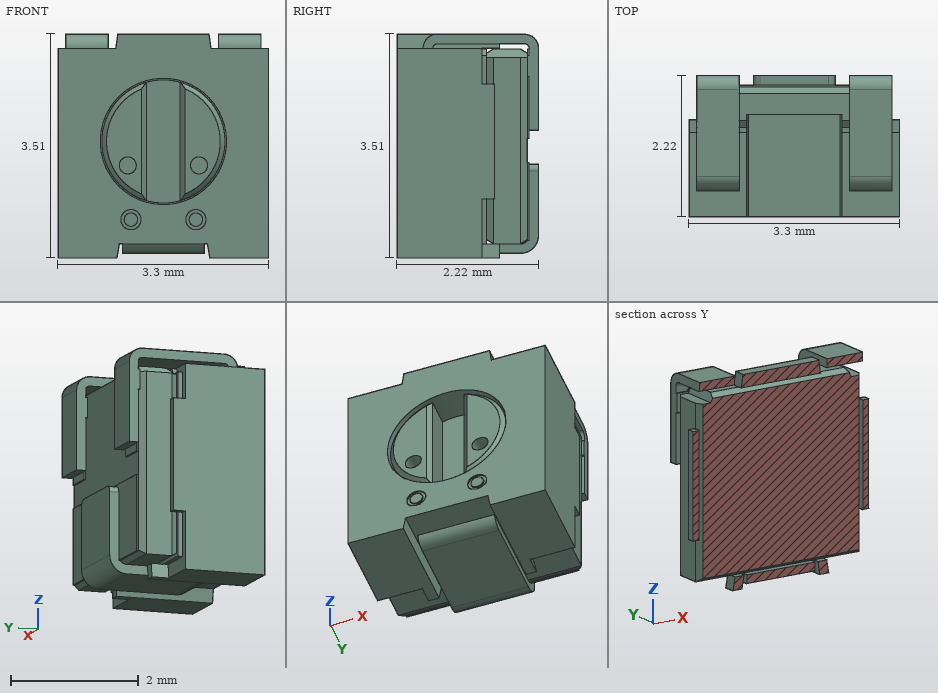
import cadquery as cq


width = 3.3
depth = 2.22
height = 3.51

housing_depth = 1.327
housing_top = 3.29
boss_depth = 1.608
boss_base_half = 0.748
boss_top_half = 0.715
notch_height = 0.225
notch_bottom_half = 0.725
notch_top_half = 0.688
rail_width = 0.175
ledge_end = 1.405
ledge_drop = 0.105
side_wall_end = 1.527
side_wall_bottom = 0.93
side_wall_top = 2.727

strip_thickness = 0.15
pad_end = depth - strip_thickness
tip_start = 0.407
tip_radius = 0.225
upper_width = 0.67
upper_offset = 1.197
upper_leg_end = 2.005
upper_bend = 0.225
lower_width = 1.285
lower_bottom = notch_height - strip_thickness
lower_leg_end = 1.475
lower_bend = 0.285
lower_corner = 0.105

plate_half = upper_offset + upper_width / 2
plate_top = 3.28
plate_end = 2.04
plate_drop = 0.135
shoulder_width = 0.21
shoulder_slope = 0.07
plate_bevel_along = 0.105
plate_bevel_across = 0.063

band_bottom = 2.85
band_drop = 0.105
pad_inset = 0.09
upper_pad_bottom = 1.878
lower_pad_bottom = 0.28
lower_pad_top = 1.502

rotor_z = 1.83
bore_radius = 0.99
rotor_radius = 0.965
rotor_bevel = 0.075
slot_half = 0.265
slot_bevel = 0.077
slot_depth = 0.52
bore_depth = 0.595
rotor_hole_radius = 0.135
rotor_hole_x = 0.558
rotor_hole_z = 1.453

ring_x = 0.51
ring_z = 0.605
ring_outer = 0.158
ring_inner = 0.105
ring_depth = 0.02


def block(x0, x1, y0, y1, z0, z1):
    """Box between two opposite corners."""
    return cq.Workplane("XY").box(x1 - x0, y1 - y0, z1 - z0, centered=False).translate((x0, y0, z0))


def front_plane(y):
    """Sketch plane at the given y; its extrusions run toward +Y and its local y is -Z."""
    return cq.Workplane(cq.Plane(origin=(0, y, 0), xDir=(1, 0, 0), normal=(0, 1, 0)))


def prism(points, y0, y1):
    """Outline of (x, z) points extruded from y0 to y1."""
    return front_plane(y0).polyline([(x, -z) for x, z in points]).close().extrude(y1 - y0)


def disc(x, z, radius, length):
    """Cylinder running from the front face toward +Y."""
    return front_plane(0).center(x, -z).circle(radius).extrude(length)


def trapezoid(bottom_half, top_half, z0, z1, y1):
    """Symmetric trapezoid running from the front face back to y1."""
    points = [(-bottom_half, z0), (bottom_half, z0), (top_half, z1), (-top_half, z1)]
    return prism(points, 0, y1)


def shouldered(half, y0, y1, z0, drop):
    """Slab from z0 up to the plate top, its upper corners lowered by drop to flat shoulders."""
    shoulder_z = plate_top - drop
    foot = half - shoulder_width
    crown = foot - shoulder_slope
    return prism([
        (-half, z0),
        (half, z0),
        (half, shoulder_z),
        (foot, shoulder_z),
        (crown, plate_top),
        (-crown, plate_top),
        (-foot, shoulder_z),
        (-half, shoulder_z),
    ], y0, y1)


def make_housing():
    body = block(-width / 2, width / 2, 0, housing_depth, 0, housing_top)
    body = body.union(trapezoid(boss_base_half, boss_top_half, housing_top, height, boss_depth))
    body = body.cut(trapezoid(notch_bottom_half, notch_top_half, 0, notch_height, housing_depth))
    body = body.union(shouldered(plate_half, housing_depth, ledge_end, notch_height, ledge_drop))

    wall = block(plate_half, width / 2, housing_depth, side_wall_end, side_wall_bottom, side_wall_top)
    body = body.union(wall).union(wall.mirror("YZ"))

    rail_outline = [
        (notch_bottom_half, 0),
        (notch_bottom_half + rail_width, 0),
        (notch_top_half + rail_width, notch_height),
        (notch_top_half, notch_height),
    ]
    rail = prism(rail_outline, housing_depth, boss_depth)
    return body.union(rail).union(rail.mirror("YZ"))


def bevelled_outline(workplane, low, high):
    """Sketch the plate's thickness along local y against low..high along local x, corners bevelled."""
    a, b = plate_bevel_across, plate_bevel_along
    return workplane.polyline([
        (low + a, ledge_end),
        (high - a, ledge_end),
        (high, ledge_end + b),
        (high, plate_end - b),
        (high - a, plate_end),
        (low + a, plate_end),
        (low, plate_end - b),
        (low, ledge_end + b),
    ]).close()


def make_plate():
    """Plate bevelled on both faces, with a lowered shoulder at each upper corner."""
    plan = bevelled_outline(cq.Workplane("XY"), -plate_half, plate_half).extrude(plate_top)
    side = bevelled_outline(cq.Workplane("ZY"), notch_height, plate_top).extrude(plate_half, both=True)
    slab = shouldered(plate_half, ledge_end, plate_end, notch_height, plate_drop)
    return slab.intersect(plan).intersect(side)


def make_contacts():
    """Band and narrower pad under each upper leg, and one wide pad under the lower leg."""
    band = shouldered(upper_width / 2, plate_end, pad_end, band_bottom, band_drop)
    pad_width = upper_width - 2 * pad_inset
    pad = block(-pad_width / 2, pad_width / 2, plate_end, pad_end, upper_pad_bottom, band_bottom)
    upper = band.union(pad).translate((upper_offset, 0, 0))
    lower_half = plate_half - pad_inset
    lower = block(-lower_half, lower_half, plate_end, pad_end, lower_pad_bottom, lower_pad_top)
    return upper.union(upper.mirror("YZ")).union(lower)


def make_strip(strip_width, leg_length, bend_radius):
    """Bent strip lying on z = 0: tip curling down at the front, leg hanging down at the back."""
    tip_inner = tip_radius - strip_thickness
    leg_inner = bend_radius - strip_thickness
    tip_centre = tip_start + tip_radius
    leg_centre = depth - bend_radius
    return (
        cq.Workplane("YZ", origin=(-strip_width / 2, 0, 0))
        .moveTo(tip_start, -tip_radius)
        .radiusArc((tip_centre, 0), tip_radius)
        .lineTo(leg_centre, 0)
        .radiusArc((depth, -bend_radius), bend_radius)
        .lineTo(depth, -leg_length)
        .lineTo(pad_end, -leg_length)
        .lineTo(pad_end, -bend_radius)
        .radiusArc((leg_centre, -strip_thickness), -leg_inner)
        .lineTo(tip_centre, -strip_thickness)
        .radiusArc((tip_centre - tip_inner, -tip_radius), -tip_inner)
        .close()
        .extrude(strip_width)
    )


def make_terminals():
    upper = make_strip(upper_width, height - upper_leg_end, upper_bend)
    upper = upper.translate((upper_offset, 0, height))
    lower = make_strip(lower_width, lower_leg_end - lower_bottom, lower_bend).mirror("XY")
    lower = lower.translate((0, 0, lower_bottom))
    lower = lower.edges("|Y").edges(">Z").fillet(lower_corner)
    return upper.union(upper.mirror("YZ")).union(lower)


def make_rotor():
    rotor = disc(0, rotor_z, rotor_radius, bore_depth).faces("<Y").chamfer(rotor_bevel)
    lip_half = slot_half + slot_bevel
    slot_outline = [
        (-lip_half, 0),
        (lip_half, 0),
        (slot_half, slot_bevel),
        (slot_half, slot_depth),
        (-slot_half, slot_depth),
        (-slot_half, slot_bevel),
    ]
    slot = cq.Workplane("XY").polyline(slot_outline).close().extrude(height)
    return rotor.cut(slot)


result = make_housing().union(make_plate()).union(make_contacts()).union(make_terminals())
result = result.cut(disc(0, rotor_z, bore_radius, bore_depth)).union(make_rotor())
for side in (-1, 1):
    result = result.cut(disc(side * rotor_hole_x, rotor_hole_z, rotor_hole_radius, slot_depth))
    groove = disc(side * ring_x, ring_z, ring_outer, ring_depth)
    groove = groove.cut(disc(side * ring_x, ring_z, ring_inner, ring_depth))
    result = result.cut(groove)